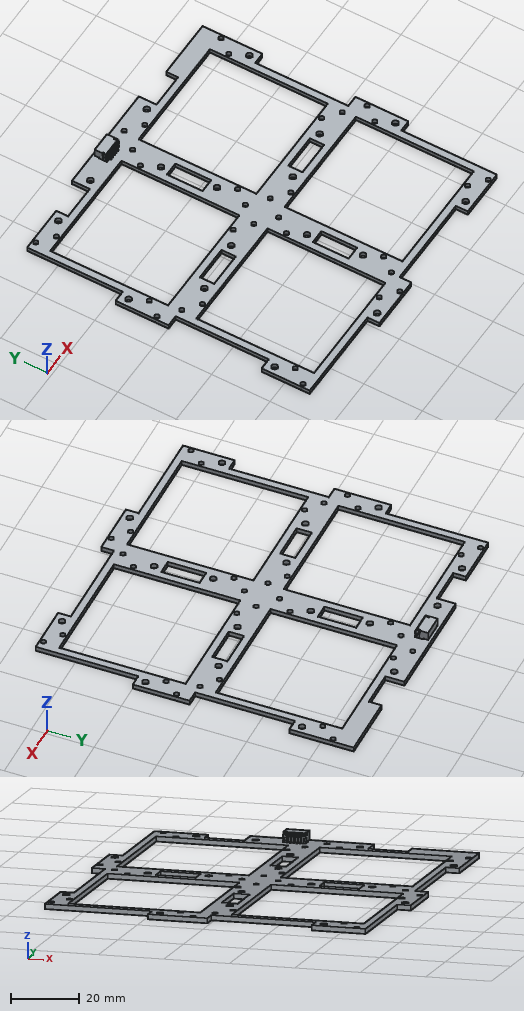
import cadquery as cq

pitch = 50.0
half_pitch = pitch / 2
plate_thickness = 1.6
window_side = 40.3
slot_length = 12.2
slot_width = 4.8
half_slot = slot_length / 2

edge = pitch - slot_width / 2
plate_width = 103.2
plate_length = 105.2
tab_reach = plate_width / 2
connector_tab_reach = plate_length - tab_reach
tab_end = 0.7

slot_inner = half_pitch - half_slot
slot_outer = half_pitch + half_slot

cell_centres = [(x, y) for x in (-half_pitch, half_pitch) for y in (-half_pitch, half_pitch)]

small_hole_diameter = 1.6
large_hole_diameter = 2.0
small_hole_points = [(-19.6, 25.5), (-14.5, 21.5)]
large_hole_points = [(-9.0, 24.1)]
extra_hole_cell = (-half_pitch, half_pitch)
extra_hole_offset = (9.0, 24.1)

connector_x = -4.0
mating_face_setback = 0.8
mating_face_y = connector_tab_reach - mating_face_setback

housing_width = 6.9
half_width = housing_width / 2
housing_depth = 4.2
terraces = [(3.8, 3.0), (4.0, 2.6), (housing_depth, 2.2)]
housing_height = terraces[0][1]
front_relief_depth = 1.5
front_relief_height = 0.3

side_notch_start = 2.6
side_notch_end = 3.0
side_notch_width = 0.4
side_notch_bottom = 2.2

contact_count = 5
contact_pitch = 1.0
contact_width = 0.3
contact_thickness = 0.3
contact_height = 1.5
contact_reach = 4.8

contact_recess_width = 4.5
contact_recess_start = 3.8
contact_recess_height = 1.8

anchor_width = 0.6
anchor_start = 2.8
anchor_upright_end = 3.6
anchor_height = 1.5
anchor_foot_height = 0.5


def box(x_range, y_range, z_range):
    """Solid block between the given limits along X, Y and Z."""
    size = [high - low for low, high in (x_range, y_range, z_range)]
    corner = (x_range[0], y_range[0], z_range[0])
    return cq.Workplane("XY").box(*size, centered=False).translate(corner)


def quarter_turns(points):
    """Repeat points at every quarter turn about the centre of a cell."""
    turned = []
    for x, y in points:
        turned += [(x, y), (y, -x), (-x, -y), (-y, x)]
    return turned


def at_every_cell(points):
    """Place cell points in all four cells."""
    return [(cx + x, cy + y) for cx, cy in cell_centres for x, y in points]


def drills(centres, diameter):
    return cq.Workplane("XY").pushPoints(centres).circle(diameter / 2).extrude(plate_thickness)


def make_plate():
    full_height = (0, plate_thickness)
    plate = box((-edge, edge), (-edge, edge), full_height)

    tabs = [
        ((-tab_reach, -edge), (tab_end, slot_inner)),
        ((-tab_reach, -edge), (-edge, -slot_outer)),
        ((edge, tab_reach), (slot_outer, tab_reach)),
        ((edge, tab_reach), (-slot_inner, -tab_end)),
        ((-slot_inner, -tab_end), (-tab_reach, -edge)),
        ((slot_outer, edge), (-tab_reach, -edge)),
        ((-edge, -slot_outer), (edge, tab_reach)),
        ((-slot_inner, slot_inner), (edge, connector_tab_reach)),
        ((slot_outer, edge), (edge, tab_reach)),
    ]
    for x_range, y_range in tabs:
        plate = plate.union(box(x_range, y_range, full_height))

    top = plate.faces(">Z").workplane(origin=(0, 0, plate_thickness))
    plate = top.pushPoints(cell_centres).rect(window_side, window_side).cutThruAll()

    across_slot = (-slot_width / 2, slot_width / 2)
    for slot_centre in (-half_pitch, half_pitch):
        along_slot = (slot_centre - half_slot, slot_centre + half_slot)
        plate = plate.cut(box(along_slot, across_slot, full_height))
        plate = plate.cut(box(across_slot, along_slot, full_height))

    for points, diameter in (
        (small_hole_points, small_hole_diameter),
        (large_hole_points, large_hole_diameter),
    ):
        plate = plate.cut(drills(at_every_cell(quarter_turns(points)), diameter))

    extra_hole = (extra_hole_cell[0] + extra_hole_offset[0], extra_hole_cell[1] + extra_hole_offset[1])
    return plate.cut(drills([extra_hole], large_hole_diameter))


def connector_box(x_range, depth_range, z_range):
    """Block placed from the connector's centre line, mating face and seat on the plate."""
    y_range = (mating_face_y - depth_range[1], mating_face_y - depth_range[0])
    block = box(x_range, y_range, z_range)
    return block.translate((connector_x, 0, plate_thickness))


def side_strip(side, width):
    """X limits of a strip along the inside of the left (-1) or right (+1) side of the housing."""
    return sorted((side * half_width, side * (half_width - width)))


def make_housing():
    full_width = (-half_width, half_width)
    housing = connector_box(full_width, (0, terraces[0][0]), (0, housing_height))
    for depth, height in terraces[1:]:
        housing = housing.union(connector_box(full_width, (0, depth), (0, height)))

    housing = housing.cut(connector_box(full_width, (0, front_relief_depth), (0, front_relief_height)))

    recess_x = (-contact_recess_width / 2, contact_recess_width / 2)
    recess_depths = (contact_recess_start, housing_depth)
    housing = housing.cut(connector_box(recess_x, recess_depths, (0, contact_recess_height)))

    for side in (-1, 1):
        notch_x = side_strip(side, side_notch_width)
        notch_depths = (side_notch_start, side_notch_end)
        housing = housing.cut(connector_box(notch_x, notch_depths, (side_notch_bottom, housing_height)))

        pocket_x = side_strip(side, anchor_width)
        housing = housing.cut(connector_box(pocket_x, (anchor_start, housing_depth), (0, anchor_height)))
    return housing


def make_anchor(side):
    x_range = side_strip(side, anchor_width)
    upright = connector_box(x_range, (anchor_start, anchor_upright_end), (0, anchor_height))
    foot = connector_box(x_range, (anchor_start, housing_depth), (0, anchor_foot_height))
    return upright.union(foot)


def make_contact(x):
    """L-shaped contact: a post against the back of the recess and a foot on the plate."""
    x_range = (x - contact_width / 2, x + contact_width / 2)
    post_depths = (contact_recess_start, contact_recess_start + contact_thickness)
    post = connector_box(x_range, post_depths, (0, contact_height))
    foot = connector_box(x_range, (contact_recess_start, contact_reach), (0, contact_thickness))
    return post.union(foot)


plate = make_plate()
housing = make_housing()
anchors = [make_anchor(side) for side in (-1, 1)]
first_contact_x = -(contact_count - 1) / 2 * contact_pitch
contacts = [make_contact(first_contact_x + i * contact_pitch) for i in range(contact_count)]

bodies = [plate, housing, *anchors, *contacts]
result = cq.Compound.makeCompound([body.val() for body in bodies])